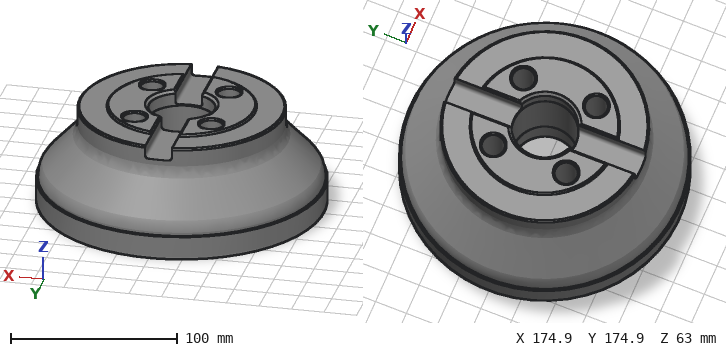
import cadquery as cq

outer_diameter = 174.9
total_height = 63.0

disc_height = 15.2
disc_top_chamfer = 0.3
lip_height = 1.5
lip_flare = 0.09
lip_chamfer = 0.5

skirt_diameter = 172.3
collar_diameter = 125.0
cone_bottom = 21.0
cone_top = 46.2
blend_radius = 10.0
collar_top = 61.7
collar_chamfer = 1.0

pad_diameter = 90.0
pad_taper = 1.0

bore_diameter = 40.0
mouth_diameter = 40.2
mouth_bottom = 53.0
mouth_chamfer = 2.0

slot_width = 16.5
slot_floor = 53.9
slot_corner_radius = 2.1
pad_slot_chamfer = 1.0

hole_diameter = 14.0
hole_chamfer = 1.0
hole_spacing = 47.2

half_spacing = hole_spacing / 2
hole_centers = [(x, y) for x in (-half_spacing, half_spacing) for y in (-half_spacing, half_spacing)]


def revolve_profile(profile):
    """Turn a closed (radius, height) profile about the Z axis."""
    return profile.close().revolve(360, (0, 0, 0), (0, 1, 0))


def cylinder(diameter, bottom, top):
    return cq.Workplane("XY", origin=(0, 0, bottom)).circle(diameter / 2).extrude(top - bottom)


def cone(bottom_diameter, top_diameter, bottom, top):
    return revolve_profile(
        cq.Workplane("XZ")
        .moveTo(0, bottom)
        .lineTo(bottom_diameter / 2, bottom)
        .lineTo(top_diameter / 2, top)
        .lineTo(0, top)
    )


def make_disc():
    lip_radius = outer_diameter / 2
    wall_radius = lip_radius - lip_flare
    return revolve_profile(
        cq.Workplane("XZ")
        .lineTo(lip_radius - lip_chamfer, 0)
        .lineTo(lip_radius, lip_chamfer)
        .lineTo(wall_radius, lip_height)
        .lineTo(wall_radius, disc_height - disc_top_chamfer)
        .lineTo(wall_radius - disc_top_chamfer, disc_height)
        .lineTo(0, disc_height)
    )


def make_hub_blank():
    skirt_radius = skirt_diameter / 2
    collar_radius = collar_diameter / 2
    blank = revolve_profile(
        cq.Workplane("XZ")
        .moveTo(0, disc_height)
        .lineTo(skirt_radius, disc_height)
        .lineTo(skirt_radius, cone_bottom)
        .lineTo(collar_radius, cone_top)
        .lineTo(collar_radius, collar_top)
        .lineTo(0, collar_top)
    )
    blank = blank.faces("%CONE").edges("%CIRCLE").fillet(blend_radius)
    blank = blank.faces(">Z").edges().chamfer(collar_chamfer)
    pad = cone(pad_diameter, pad_diameter - 2 * pad_taper, collar_top, total_height)
    return blank.union(pad)


def make_slot():
    """Rounded-floor slot with a flare that bevels the pad beside it."""
    half_width = slot_width / 2
    flare_width = half_width + pad_slot_chamfer
    outline = (
        cq.Workplane("XZ", origin=(0, outer_diameter / 2, 0))
        .moveTo(-flare_width, total_height)
        .lineTo(-half_width, collar_top)
        .lineTo(-half_width, slot_floor)
        .lineTo(half_width, slot_floor)
        .lineTo(half_width, collar_top)
        .lineTo(flare_width, total_height)
        .close()
    )
    return outline.extrude(outer_diameter).faces("<Z").edges("|Y").fillet(slot_corner_radius)


def make_bevel(diameter, chamfer):
    """Cutter for the chamfer of a round opening in the pad."""
    return cone(diameter, diameter + 2 * chamfer, total_height - chamfer, total_height)


def make_bore():
    bore = cylinder(bore_diameter, 0, total_height)
    mouth = cylinder(mouth_diameter, mouth_bottom, total_height)
    return bore.union(mouth).union(make_bevel(mouth_diameter, mouth_chamfer))


def make_screw_holes():
    hole = cylinder(hole_diameter, 0, total_height).union(make_bevel(hole_diameter, hole_chamfer))
    holes = cq.Workplane("XY")
    for x, y in hole_centers:
        holes = holes.union(hole.translate((x, y, 0)))
    return holes


bore = make_bore()
screw_holes = make_screw_holes()
hub = make_hub_blank().cut(make_slot()).cut(bore).cut(screw_holes)
disc = make_disc().cut(bore).cut(screw_holes)

result = cq.Compound.makeCompound([hub.val(), disc.val()])